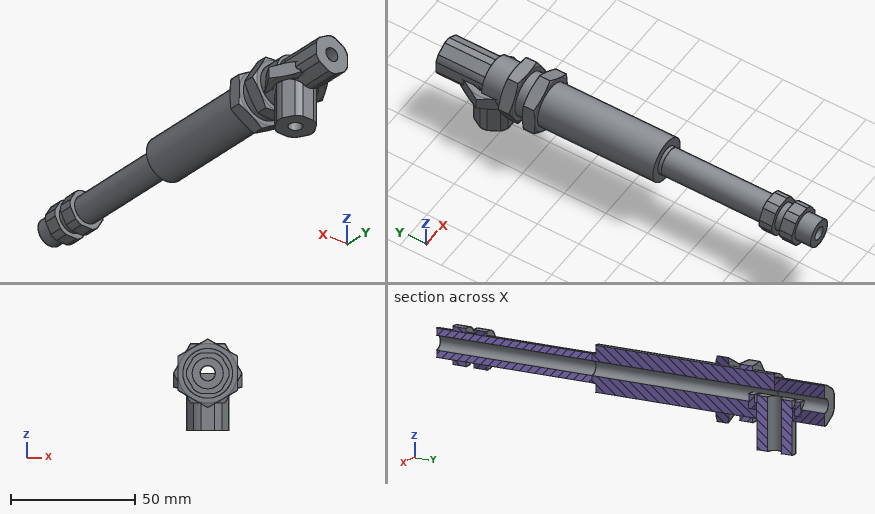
import cadquery as cq
import math

LENGTH = 179.0
BORE_DIA = 6.0
NUT_THICKNESS = 6.0

ROD_DIA = 12.5
HOUSING_DIA = 20.0
HOUSING_FRONT = 73.4
LIP_DIA = 12.7
LIP_LENGTH = 1.6

STUB_LENGTH = 23.1
ROUND_HEX_FLATS = 16.3
ROUND_HEX_DIA = 17.2
STUB_JOINT = LENGTH - STUB_LENGTH

NUT_FLATS = 24.0
NUT_CHAMFER = 0.5
FRONT_NUT_START = 128.9
REAR_NUT_START = 139.8
PORT_NUT_HOLE_DIA = 18.5

ROD_NUT_COUNT = 2
ROD_NUT_START = 7.5
ROD_NUT_PITCH = 9.7

FLAT_TURN = 30.0
HEX_CORNER_FACTOR = 2 / math.sqrt(3)


def hexagon(flats, thickness):
    """Hexagonal prism standing on Z = 0, with two corners on the X axis."""
    return cq.Workplane("XY").polygon(6, flats * HEX_CORNER_FACTOR).extrude(thickness)


def round_bar(diameter, length):
    """Round bar standing on Z = 0."""
    return cq.Workplane("XY").circle(diameter / 2).extrude(length)


def rounded_hexagon(length):
    """Hexagonal bar with round corners, standing on Z = 0."""
    return hexagon(ROUND_HEX_FLATS, length).intersect(round_bar(ROUND_HEX_DIA, length))


def port_stub():
    """Port with the bore running through it."""
    return rounded_hexagon(STUB_LENGTH).cut(round_bar(BORE_DIA, STUB_LENGTH))


def rod_nut():
    """Small nut that fits on the rod."""
    return rounded_hexagon(NUT_THICKNESS).cut(round_bar(ROD_DIA, NUT_THICKNESS))


def chamfered_nut(hole_dia):
    """Hexagon nut whose corners are turned off conically on both faces."""
    face_radius = NUT_FLATS / 2
    corner_radius = face_radius * HEX_CORNER_FACTOR
    envelope = (
        cq.Workplane("XZ")
        .moveTo(0, 0)
        .lineTo(face_radius, 0)
        .lineTo(corner_radius, NUT_CHAMFER)
        .lineTo(corner_radius, NUT_THICKNESS - NUT_CHAMFER)
        .lineTo(face_radius, NUT_THICKNESS)
        .lineTo(0, NUT_THICKNESS)
        .close()
        .revolve(360, (0, 0, 0), (0, 1, 0))
    )
    nut = hexagon(NUT_FLATS, NUT_THICKNESS).intersect(envelope)
    return nut.cut(round_bar(hole_dia, NUT_THICKNESS))


def along_y(body, start, turn=0.0):
    """Turn a body about its own axis, then lay it along +Y starting at Y = start."""
    turned = body.rotate((0, 0, 0), (0, 0, 1), turn)
    return turned.rotate((0, 0, 0), (1, 0, 0), -90).translate((0, start, 0))


def make_rod():
    """Hollow rod that butts against the housing lip."""
    rod_length = HOUSING_FRONT - LIP_LENGTH
    return along_y(round_bar(ROD_DIA, rod_length).cut(round_bar(BORE_DIA, rod_length)), 0)


def make_housing():
    """Hollow round housing with a short lip at its front, recessed for the side port."""
    barrel = round_bar(HOUSING_DIA, STUB_JOINT - HOUSING_FRONT)
    lip = round_bar(LIP_DIA, LIP_LENGTH)
    outside = along_y(barrel, HOUSING_FRONT).union(along_y(lip, HOUSING_FRONT - LIP_LENGTH))
    bore = along_y(round_bar(BORE_DIA, LENGTH), 0)
    return outside.cut(bore).cut(side_recess).cut(port_nut)


side_place = (0, STUB_JOINT, -STUB_LENGTH)
side_port = port_stub().translate(side_place)
side_recess = rounded_hexagon(STUB_LENGTH).translate(side_place)
port_nut = chamfered_nut(PORT_NUT_HOLE_DIA).translate((0, STUB_JOINT, -NUT_THICKNESS))

rear_port = along_y(port_stub(), STUB_JOINT, FLAT_TURN).cut(side_recess).cut(port_nut)

rod = make_rod()
housing = make_housing()

housing_nuts = []
for nut_start, nut_turn in ((FRONT_NUT_START, FLAT_TURN), (REAR_NUT_START, 0.0)):
    housing_nuts.append(along_y(chamfered_nut(HOUSING_DIA), nut_start, nut_turn))

rod_nuts = []
for index in range(ROD_NUT_COUNT):
    nut_start = ROD_NUT_START + index * ROD_NUT_PITCH
    rod_nuts.append(along_y(rod_nut(), nut_start))

single_bodies = [rod, housing, rear_port, side_port, port_nut]
all_bodies = single_bodies + housing_nuts + rod_nuts
result = cq.Compound.makeCompound([body.solids().val() for body in all_bodies])